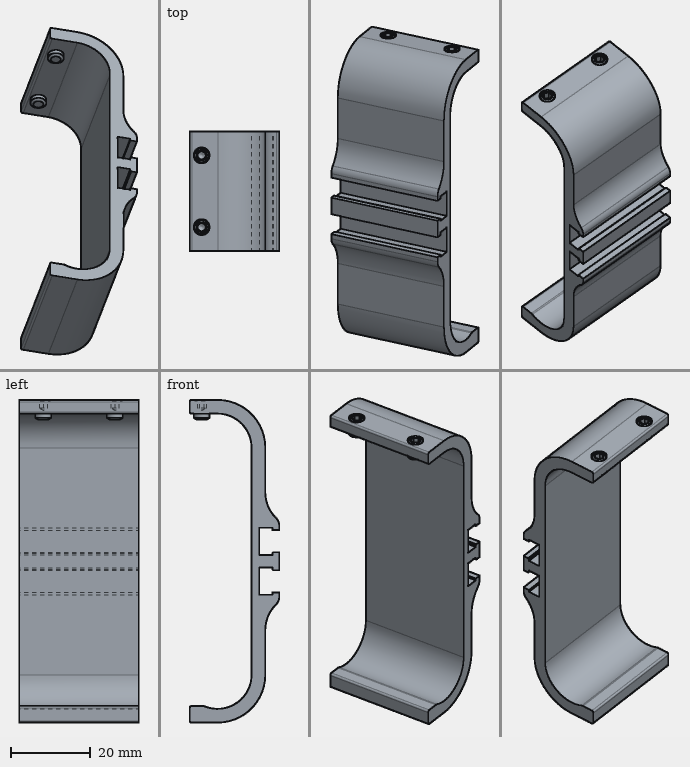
import math

import cadquery as cq

height = 81.0
depth = 22.5
width = 30.0
half_height = height / 2

wall = 3.5
back_x = 19.0
outer_radius = 12.0
inner_radius = outer_radius - wall
inner_x = back_x - wall
bend_x = back_x - outer_radius
bend_z = half_height - outer_radius
edge_round = 0.5

lip_height = 4.2
lip_round = 1.0

shoulder_end_z = 9.0
shoulder_round = 2.5
shoulder_flare = 9.0
slot_floor_x = 17.5
slot_lip_x = 20.75
slot_inner_z = 1.6
slot_outer_z = 8.35
mouth_inner_z = 2.3
mouth_outer_z = 7.8
head_chamfer = 0.25

screw_diameter = 4.0
screw_length = 5.0
screw_x = 3.0
screw_spacing = 18.0
screw_end_radius = 1.25
screw_end_chamfer = 0.45
hole_chamfer = 0.35
socket_across_flats = 2.0
socket_sides = 6
socket_turn = 30.0
socket_depth = 2.0
socket_cone_depth = 0.6


def on_circle(center, radius, degrees):
    angle = math.radians(degrees)
    return (center[0] + radius * math.cos(angle), center[1] + radius * math.sin(angle))


def make_clip_body():
    """Extruded C profile, drawn from the upper leg around the back to the lip."""
    upper_bend = (bend_x, bend_z)
    lower_bend = (bend_x, -bend_z)
    leg_bottom_z = half_height - wall
    lip_z = lip_height - half_height

    shoulder_rise = depth - back_x
    s_angle = math.degrees(math.acos(1 - shoulder_rise / (shoulder_flare + shoulder_round)))
    s_height = (shoulder_flare + shoulder_round) * math.sin(math.radians(s_angle))
    flare_start_z = shoulder_end_z + s_height
    flare_x = back_x + shoulder_flare
    round_x = depth - shoulder_round

    lip_round_z = lip_z - lip_round
    lip_drop = -bend_z - lip_round_z
    lip_round_x = bend_x - math.sqrt((inner_radius + lip_round) ** 2 - lip_drop ** 2)
    lip_round_center = (lip_round_x, lip_round_z)
    lip_angle = math.degrees(math.atan2(lip_drop, bend_x - lip_round_x))
    bend_end_angle = 180 + lip_angle

    upper_flare = (flare_x, flare_start_z)
    lower_flare = (flare_x, -flare_start_z)
    upper_round = (round_x, shoulder_end_z)
    lower_round = (round_x, -shoulder_end_z)

    profile = (
        cq.Workplane("XZ")
        .moveTo(edge_round, half_height)
        .lineTo(bend_x, half_height)
        .threePointArc(on_circle(upper_bend, outer_radius, 45), (back_x, bend_z))
        .lineTo(back_x, flare_start_z)
        .threePointArc(
            on_circle(upper_flare, shoulder_flare, 180 + s_angle / 2),
            on_circle(upper_flare, shoulder_flare, 180 + s_angle),
        )
        .threePointArc(on_circle(upper_round, shoulder_round, s_angle / 2), (depth, shoulder_end_z))
        .lineTo(depth, -shoulder_end_z)
        .threePointArc(
            on_circle(lower_round, shoulder_round, -s_angle / 2),
            on_circle(lower_round, shoulder_round, -s_angle),
        )
        .threePointArc(
            on_circle(lower_flare, shoulder_flare, 180 - s_angle / 2), (back_x, -flare_start_z)
        )
        .lineTo(back_x, -bend_z)
        .threePointArc(on_circle(lower_bend, outer_radius, -45), (bend_x, -half_height))
        .lineTo(edge_round, -half_height)
        .threePointArc(
            on_circle((edge_round, edge_round - half_height), edge_round, 225),
            (0, edge_round - half_height),
        )
        .lineTo(0, lip_z - edge_round)
        .threePointArc(
            on_circle((edge_round, lip_z - edge_round), edge_round, 135), (edge_round, lip_z)
        )
        .lineTo(lip_round_x, lip_z)
        .threePointArc(
            on_circle(lip_round_center, lip_round, (90 + lip_angle) / 2),
            on_circle(lip_round_center, lip_round, lip_angle),
        )
        .threePointArc(
            on_circle(lower_bend, inner_radius, (bend_end_angle + 360) / 2), (inner_x, -bend_z)
        )
        .lineTo(inner_x, bend_z)
        .threePointArc(on_circle(upper_bend, inner_radius, 45), (bend_x, leg_bottom_z))
        .lineTo(edge_round, leg_bottom_z)
        .threePointArc(
            on_circle((edge_round, leg_bottom_z + edge_round), edge_round, 225),
            (0, leg_bottom_z + edge_round),
        )
        .lineTo(0, half_height - edge_round)
        .threePointArc(
            on_circle((edge_round, half_height - edge_round), edge_round, 135),
            (edge_round, half_height),
        )
        .close()
    )
    return profile.extrude(width / 2, both=True)


def make_upper_slot():
    """T-slot above the web; its mouth is narrowed by the shoulder lip and web head."""
    outline = [
        (slot_floor_x, slot_inner_z),
        (slot_lip_x, slot_inner_z),
        (slot_lip_x, mouth_inner_z - head_chamfer),
        (slot_lip_x + head_chamfer, mouth_inner_z),
        (depth, mouth_inner_z),
        (depth, mouth_outer_z),
        (slot_lip_x, mouth_outer_z),
        (slot_lip_x, slot_outer_z),
        (slot_floor_x, slot_outer_z),
    ]
    return cq.Workplane("XZ").polyline(outline).close().extrude(width / 2, both=True)


def revolve_at_screw(section, y):
    """Revolve a (radius, height) section about a screw axis; height 0 is the leg's top face."""
    plane = cq.Workplane("XZ", origin=(screw_x, y, half_height))
    return plane.polyline(section).close().revolve(360, (0, 0), (0, 1))


def make_screw_hole(y):
    """Through hole at the thread core size; its chamfer and the screw's leave a V-groove."""
    core_radius = screw_diameter / 2 - hole_chamfer
    section = [
        (0, 0),
        (screw_diameter / 2, 0),
        (core_radius, -hole_chamfer),
        (core_radius, -wall),
        (0, -wall),
    ]
    return revolve_at_screw(section, y)


def make_screw(y):
    """Set screw with chamfered ends and a hexagonal socket ending in a cone."""
    radius = screw_diameter / 2
    half_section = [
        (0, 0),
        (screw_end_radius, 0),
        (radius, -screw_end_chamfer),
        (radius, screw_end_chamfer - screw_length),
        (screw_end_radius, -screw_length),
        (0, -screw_length),
    ]
    body = revolve_at_screw(half_section, y)
    socket = (
        cq.Workplane("XY", origin=(screw_x, y, half_height))
        .transformed(rotate=(0, 0, socket_turn))
        .polygon(socket_sides, socket_across_flats, circumscribed=True)
        .extrude(-socket_depth)
    )
    cone_section = [
        (0, -socket_depth),
        (socket_across_flats / 2, -socket_depth),
        (0, -socket_depth - socket_cone_depth),
    ]
    cone = revolve_at_screw(cone_section, y)
    return body.cut(socket).cut(cone)


upper_slot = make_upper_slot()
result = make_clip_body().cut(upper_slot).cut(upper_slot.mirror("XY"))
for screw_y in (-screw_spacing / 2, screw_spacing / 2):
    result = result.cut(make_screw_hole(screw_y)).union(make_screw(screw_y))